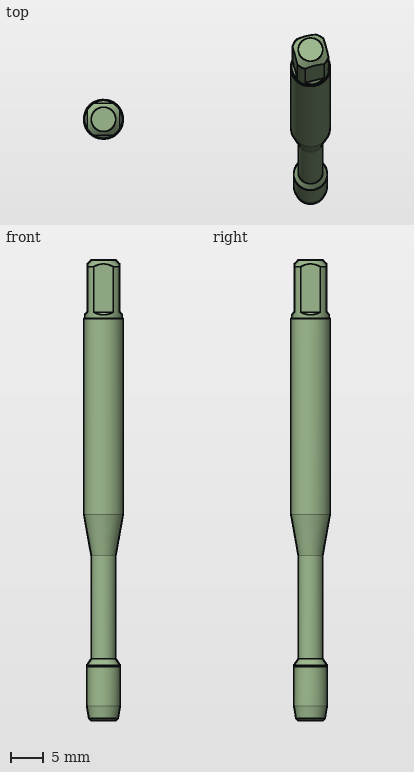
import cadquery as cq

total_length = 70.1

head_diameter = 5.1
lead_diameter = 4.5
tip_diameter = 3.8
tip_chamfer_height = 0.35
lead_top = 2.25
head_top = 8.2

neck_diameter = 3.8
shoulder_bottom = 8.4
shoulder_top = 9.4
neck_top = 25.2

shank_diameter = 6.0
shank_bottom = 31.4
shank_top = 61.1

drive_diameter = 5.75
drive_flats = 4.9
drive_bottom = 62.2
drive_end_diameter = 3.7


def turned(profile):
    """Revolve (diameter, height) points about the Z axis into a solid."""
    points = [(diameter / 2, z) for diameter, z in profile]
    outline = [(0, points[0][1]), *points, (0, points[-1][1])]
    return cq.Workplane("XZ").polyline(outline).close().revolve(360, (0, 0), (0, 1))


def make_cutting_head():
    return turned([
        (tip_diameter, 0),
        (lead_diameter, tip_chamfer_height),
        (head_diameter, lead_top),
        (head_diameter, head_top),
    ])


def make_flat_cutter():
    """Block that cuts the +X flat, with a 45 degree run-out at its lower end."""
    flat = drive_flats / 2
    reach = shank_diameter - flat
    outline = [
        (flat, drive_bottom),
        (flat, total_length),
        (flat + reach, total_length),
        (flat + reach, drive_bottom - reach),
    ]
    return cq.Workplane("XZ").polyline(outline).close().extrude(shank_diameter, both=True)


def make_shank():
    step = (shank_diameter - drive_diameter) / 2
    end_chamfer = (drive_diameter - drive_end_diameter) / 2
    shank = turned([
        (head_diameter, head_top),
        (head_diameter, shoulder_bottom),
        (neck_diameter, shoulder_top),
        (neck_diameter, neck_top),
        (shank_diameter, shank_bottom),
        (shank_diameter, shank_top),
        (drive_diameter, shank_top + step),
        (drive_diameter, total_length - end_chamfer),
        (drive_end_diameter, total_length),
    ])
    cutter = make_flat_cutter()
    for side in range(4):
        shank = shank.cut(cutter.rotate((0, 0, 0), (0, 0, 1), 90 * side))
    return shank


cutting_head = make_cutting_head()
shank = make_shank()
result = cq.Compound.makeCompound([cutting_head.val(), shank.val()])